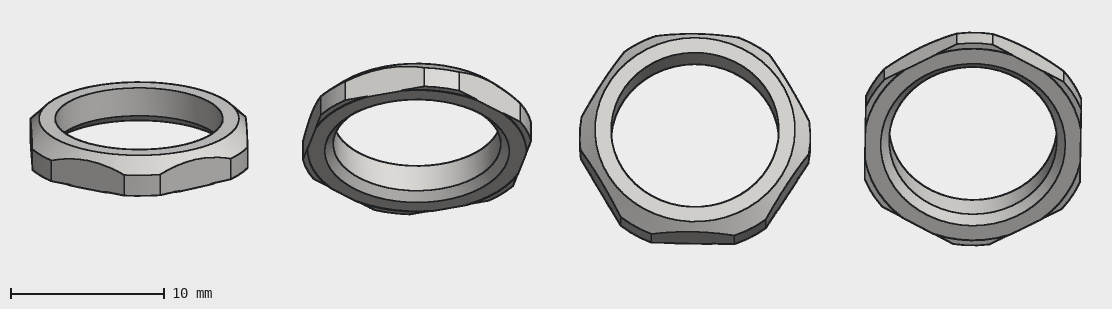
import cadquery as cq

side_count = 6
half_side_angle = 180 / side_count
across_flats = 14.0
outer_diameter = 15.0
bore_diameter = 10.9
height = 2.5
top_chamfer = 1.0
washer_face_diameter = 14.2
washer_face_height = 0.05
bore_chamfer_diameter = 12.0
bore_chamfer_depth = (bore_chamfer_diameter - bore_diameter) / 2


def turned_blank():
    """Solid of revolution: top chamfer, outer cylinder and shallow washer face at the bottom."""
    body = (
        cq.Workplane("XY")
        .workplane(offset=washer_face_height)
        .circle(outer_diameter / 2)
        .extrude(height - washer_face_height)
        .faces(">Z")
        .chamfer(top_chamfer)
    )
    washer_face = cq.Workplane("XY").circle(washer_face_diameter / 2).extrude(washer_face_height)
    return body.union(washer_face)


def hex_prism():
    """Hexagonal prism with two of its flats facing +Y and -Y."""
    return (
        cq.Workplane("XY")
        .transformed(rotate=(0, 0, half_side_angle))
        .polygon(side_count, across_flats, circumscribed=True)
        .extrude(height)
    )


def bore():
    """Through bore with a 45 degree lead-in at the bottom."""
    hole = cq.Workplane("XY").circle(bore_diameter / 2).extrude(height)
    lead_in = (
        cq.Workplane("XY")
        .circle(bore_chamfer_diameter / 2)
        .workplane(offset=bore_chamfer_depth)
        .circle(bore_diameter / 2)
        .loft(ruled=True)
    )
    return hole.union(lead_in)


result = turned_blank().intersect(hex_prism()).cut(bore())